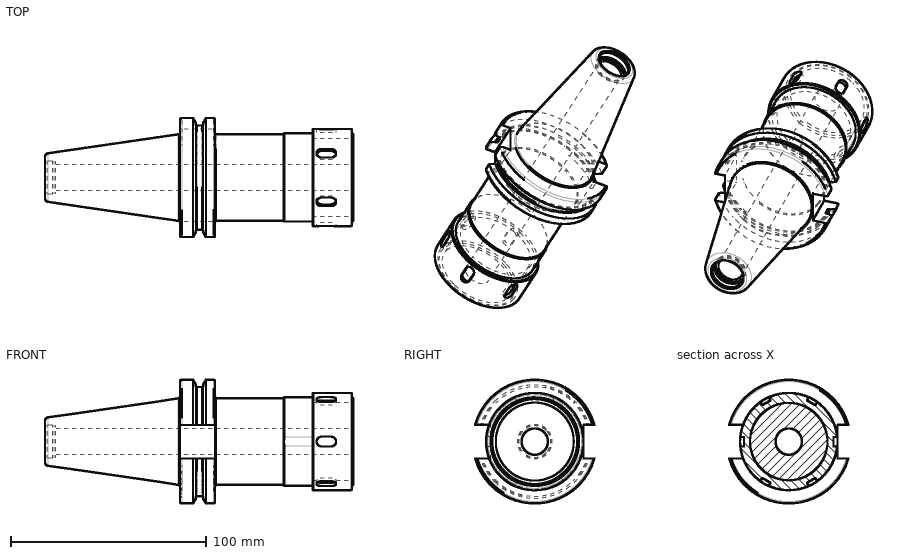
import cadquery as cq
import math


GAUGE_DIA = 44.45
TAPER_RATIO = 7 / 24
SHANK_LENGTH = 68.25
SHANK_END_FILLET = 2.0

FLANGE_DIA = 63.5
FLANGE_FRONT_X = 0.95
FLANGE_REAR_X = 19.05
FLANGE_RIM_FILLET = 1.0
FLANGE_ROOT_FILLET = 0.5

GROOVE_CENTRE_X = 11.0
GROOVE_FLOOR_DIA = 56.25
GROOVE_MOUTH_WIDTH = 6.6
GROOVE_FLOOR_WIDTH = 3.6
GROOVE_FLANK_ANGLE = 30
GROOVE_FLOOR_FILLET = 0.4

DRIVE_SLOT_WIDTH = 17.15
DEEP_SLOT_FLOOR = 22.63
SHALLOW_SLOT_FLOOR = 25.0

BODY_DIA = GAUGE_DIA
COLLAR_DIA = 45.5
COLLAR_FRONT_X = 54.0
COLLAR_CHAMFER = 0.5

BORE_DIA = 13.39
MOUTH_DIA = 17.78
LEAD_IN_DEPTH = 1.0
PILOT_DIA = 16.78
PILOT_DEPTH = 4.0
COUNTERBORE_DIA = 16.28
COUNTERBORE_START = 4.6
COUNTERBORE_DEPTH = 5.5

NUT_DIA = 50.0
NUT_BACK_X = 68.8
NUT_BACK_CHAMFER = 0.5
NUT_RIM_X = 89.25
NUT_RIM_FILLET = 1.0
NUT_END_X = 90.0
NUT_END_DIA = 43.5
NUT_END_BASE_DIA = COLLAR_DIA
NOSE_DIA = 40.0

SPANNER_SLOT_COUNT = 6
SPANNER_SLOT_LENGTH = 10.0
SPANNER_SLOT_WIDTH = 5.0
SPANNER_SLOT_X = 76.0
SPANNER_SLOT_FLOOR = 23.0


MATCH_TOLERANCE = 0.01


def cylinder(dia, start_x, end_x):
    return (
        cq.Workplane("YZ", origin=(start_x, 0, 0))
        .circle(dia / 2)
        .extrude(end_x - start_x)
    )


def revolve_profile(points):
    """Turn an (x, radius) outline around the X axis."""
    return cq.Workplane("XY").polyline(points).close().revolve(360, (0, 0), (1, 0))


def rings(body, dia, *x_places):
    """Select the circular edges of one diameter at the given places along X."""
    def matches(edge):
        same_size = abs(edge.radius() - dia / 2) < MATCH_TOLERANCE
        return same_size and any(abs(edge.Center().x - x) < MATCH_TOLERANCE for x in x_places)

    return body.edges("%CIRCLE").filter(matches)


def make_turned_holder():
    """Shank, flange and body turned in one piece, with rounded flange edges."""
    shank_end_dia = GAUGE_DIA - SHANK_LENGTH * TAPER_RATIO
    holder = revolve_profile([
        (-SHANK_LENGTH, 0),
        (-SHANK_LENGTH, shank_end_dia / 2),
        (0, GAUGE_DIA / 2),
        (FLANGE_FRONT_X, GAUGE_DIA / 2),
        (FLANGE_FRONT_X, FLANGE_DIA / 2),
        (FLANGE_REAR_X, FLANGE_DIA / 2),
        (FLANGE_REAR_X, BODY_DIA / 2),
        (COLLAR_FRONT_X, BODY_DIA / 2),
        (COLLAR_FRONT_X + COLLAR_CHAMFER, COLLAR_DIA / 2),
        (NUT_BACK_X, COLLAR_DIA / 2),
        (NUT_BACK_X, NOSE_DIA / 2),
        (NUT_END_X, NOSE_DIA / 2),
        (NUT_END_X, 0),
    ])
    holder = rings(holder, shank_end_dia, -SHANK_LENGTH).fillet(SHANK_END_FILLET)
    holder = rings(holder, FLANGE_DIA, FLANGE_FRONT_X, FLANGE_REAR_X).fillet(FLANGE_RIM_FILLET)
    return rings(holder, BODY_DIA, FLANGE_FRONT_X, FLANGE_REAR_X).fillet(FLANGE_ROOT_FILLET)


def cut_groove(holder):
    half_floor = GROOVE_FLOOR_WIDTH / 2
    half_mouth = GROOVE_MOUTH_WIDTH / 2
    flank_depth = (half_mouth - half_floor) / math.tan(math.radians(GROOVE_FLANK_ANGLE))
    flank_end_radius = FLANGE_DIA / 2 - flank_depth
    groove = revolve_profile([
        (GROOVE_CENTRE_X - half_floor, GROOVE_FLOOR_DIA / 2),
        (GROOVE_CENTRE_X - half_floor, flank_end_radius),
        (GROOVE_CENTRE_X - half_mouth, FLANGE_DIA / 2),
        (GROOVE_CENTRE_X + half_mouth, FLANGE_DIA / 2),
        (GROOVE_CENTRE_X + half_floor, flank_end_radius),
        (GROOVE_CENTRE_X + half_floor, GROOVE_FLOOR_DIA / 2),
    ])
    holder = holder.cut(groove)
    floor_ends = (GROOVE_CENTRE_X - half_floor, GROOVE_CENTRE_X + half_floor)
    return rings(holder, GROOVE_FLOOR_DIA, *floor_ends).fillet(GROOVE_FLOOR_FILLET)


def cut_drive_slots(holder):
    """Two slots of unequal depth; the deep one also leaves a narrow flat on the collar."""
    slot_length = NUT_BACK_X
    slot_height = FLANGE_DIA / 2
    for side, floor in ((-1, DEEP_SLOT_FLOOR), (1, SHALLOW_SLOT_FLOOR)):
        slot = cq.Workplane("XY").box(
            slot_length, slot_height, DRIVE_SLOT_WIDTH, centered=(False, True, True)
        )
        holder = holder.cut(slot.translate((0, side * (floor + slot_height / 2), 0)))
    return holder


def cut_bore(holder):
    """Stepped hole that narrows from the shank end and runs through the whole length."""
    end_x = -SHANK_LENGTH
    bore = revolve_profile([
        (end_x, 0),
        (end_x, MOUTH_DIA / 2),
        (end_x + LEAD_IN_DEPTH, PILOT_DIA / 2),
        (end_x + PILOT_DEPTH, PILOT_DIA / 2),
        (end_x + COUNTERBORE_START, COUNTERBORE_DIA / 2),
        (end_x + COUNTERBORE_DEPTH, COUNTERBORE_DIA / 2),
        (end_x + COUNTERBORE_DEPTH, BORE_DIA / 2),
        (NUT_END_X, BORE_DIA / 2),
        (NUT_END_X, 0),
    ])
    return holder.cut(bore)


def make_holder():
    holder = make_turned_holder()
    holder = cut_groove(holder)
    holder = cut_drive_slots(holder)
    return cut_bore(holder)


def make_spanner_slot():
    """Cutter for the slot on the -Y side, flat-bottomed with round ends."""
    return (
        cq.Workplane("XZ", origin=(SPANNER_SLOT_X, -SPANNER_SLOT_FLOOR, 0))
        .slot2D(SPANNER_SLOT_LENGTH, SPANNER_SLOT_WIDTH)
        .extrude(NUT_DIA / 2)
    )


def make_nut():
    nut = cylinder(NUT_DIA, NUT_BACK_X, NUT_RIM_X)
    nut = nut.faces("<X").edges().chamfer(NUT_BACK_CHAMFER)
    nut = nut.faces(">X").edges().fillet(NUT_RIM_FILLET)
    end_cone = revolve_profile([
        (NUT_RIM_X, 0),
        (NUT_RIM_X, NUT_END_BASE_DIA / 2),
        (NUT_END_X, NUT_END_DIA / 2),
        (NUT_END_X, 0),
    ])
    nut = nut.union(end_cone).cut(cylinder(NOSE_DIA, NUT_BACK_X, NUT_END_X))
    slot = make_spanner_slot()
    for index in range(SPANNER_SLOT_COUNT):
        angle = index * 360 / SPANNER_SLOT_COUNT
        nut = nut.cut(slot.rotate((0, 0, 0), (1, 0, 0), angle))
    return nut


holder = make_holder()
nut = make_nut()

result = cq.Compound.makeCompound([holder.val(), nut.val()])